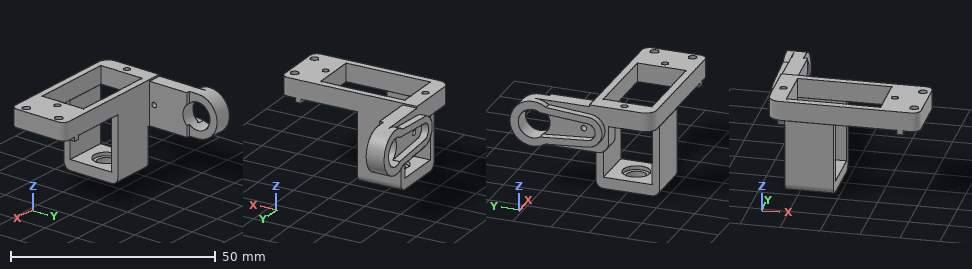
import cadquery as cq
import math

length = 40.15
depth = 36.75
height = 23.9

rim_height = 1.95
plate_left = rim_height
plate_front = 0.1
plate_back = 16.65
plate_thickness = 5.0
plate_bottom = height - plate_thickness
front_left_radius = 3.0
right_corner_radius = 2.0
window_left = 6.45
window_right = 30.05
window_front = 2.0
window_back = 14.75
center_y = (window_front + window_back) / 2
servo_screw_diameter = 1.7
servo_screw_offset = 2.15
mount_hole_diameter = 2.1
mount_hole_x = 38.15
mount_hole_spacing = 9.95
rib_left = 34.5
rib_width = 1.55
rib_depth = 1.1

bracket_width = 12.25
wall_thickness = 1.95
floor_thickness = 3.05
bracket_radius = 2.0
pivot_x = window_left + bracket_width / 2
pivot_diameter = 5.0
counterbore_diameter = 7.0
counterbore_depth = 1.0

ring_radius = 6.0
ring_y = depth - ring_radius
ring_z = 17.45
ring_bore = 7.5
arm_front = 11.6
arm_right = 5.0
arm_corner_radius = 3.0
pad_right = 6.02
pad_back = 28.23
horn_tip_y = 16.62
horn_screw_y = 18.1
horn_screw_diameter = 1.4
rim_width = 1.75
rim_tip_radius = 4.0
rim_root_radius = 5.15


def box(x0, x1, y0, y1, z0, z1):
    """Box between two opposite corners."""
    return cq.Workplane("XY").box(x1 - x0, y1 - y0, z1 - z0, centered=False).translate((x0, y0, z0))


def cylinder_x(x0, x1, y, diameter):
    """Cylinder along X at the height of the ring axis."""
    return cq.Workplane("YZ", origin=(x0, y, ring_z)).circle(diameter / 2).extrude(x1 - x0)


def tapered_slot(root_radius, tip_radius):
    """Horn outline: tangent lines from the ring axis to a round tip, as deep as the rim."""
    lean = math.asin((root_radius - tip_radius) / (ring_y - horn_tip_y))
    root_y = ring_y - root_radius * math.sin(lean)
    root_rise = root_radius * math.cos(lean)
    tip_y = horn_tip_y - tip_radius * math.sin(lean)
    tip_rise = tip_radius * math.cos(lean)
    return (
        cq.Workplane("YZ", origin=(0, 0, ring_z))
        .moveTo(root_y, root_rise)
        .lineTo(tip_y, tip_rise)
        .threePointArc((horn_tip_y - tip_radius, 0), (tip_y, -tip_rise))
        .lineTo(root_y, -root_rise)
        .close()
        .extrude(rim_height)
    )


def make_plate():
    """Frame plate with its locating rib and screw holes; the window is cut later."""
    plate = box(plate_left, length, plate_front, plate_back, plate_bottom, height)
    plate = plate.edges("|Z and <X and <Y").fillet(front_left_radius)
    plate = plate.edges("|Z and >X").fillet(right_corner_radius)
    rib = box(rib_left, rib_left + rib_width, plate_front, plate_back, plate_bottom - rib_depth, plate_bottom)
    servo_screws = [(window_left - servo_screw_offset, center_y), (window_right + servo_screw_offset, center_y)]
    mount_holes = [(mount_hole_x, center_y + side * mount_hole_spacing / 2) for side in (-1, 1)]
    plate = plate.union(rib)
    for points, diameter in ((servo_screws, servo_screw_diameter), (mount_holes, mount_hole_diameter)):
        holes = cq.Workplane("XY").pushPoints(points).circle(diameter / 2).extrude(height)
        plate = plate.cut(holes)
    return plate


def make_bracket():
    """U-shaped bracket, open along X, with a counterbored pivot hole in its floor."""
    right = window_left + bracket_width
    bracket = box(window_left, right, 0, plate_back, 0, plate_bottom)
    bracket = bracket.edges("|X and <Z").fillet(bracket_radius)
    opening = box(
        window_left, right, wall_thickness, plate_back - wall_thickness, floor_thickness, plate_bottom
    )
    return (
        bracket.cut(opening)
        .faces("<Z")
        .workplane(origin=(pivot_x, center_y, floor_thickness))
        .circle(pivot_diameter / 2)
        .cutThruAll()
        .cut(
            cq.Workplane("XY", origin=(pivot_x, center_y, floor_thickness - counterbore_depth))
            .circle(counterbore_diameter / 2)
            .extrude(counterbore_depth)
        )
    )


def make_arm():
    """Side arm: plate with a round end, stiffening pad, and raised horn rim."""
    bottom = ring_z - ring_radius
    top = ring_z + ring_radius
    arm = box(plate_left, arm_right, arm_front, ring_y, bottom, top)
    pad = box(arm_right, pad_right, arm_front, pad_back, bottom, top)
    link = box(pad_right, window_left, arm_front, plate_back, bottom, top)
    arm = arm.union(pad).union(link)
    arm = arm.edges("|X and <Y and <Z").fillet(arm_corner_radius)
    arm = arm.union(cylinder_x(0, arm_right, ring_y, 2 * ring_radius))
    arm = arm.union(tapered_slot(rim_root_radius, rim_tip_radius))
    arm = arm.cut(tapered_slot(rim_root_radius - rim_width, rim_tip_radius - rim_width))
    arm = arm.cut(cylinder_x(0, window_left, ring_y, ring_bore))
    return arm.cut(cylinder_x(0, window_left, horn_screw_y, horn_screw_diameter))


window = box(window_left, window_right, window_front, window_back, plate_bottom, height)
result = make_plate().union(make_bracket()).union(make_arm()).cut(window)